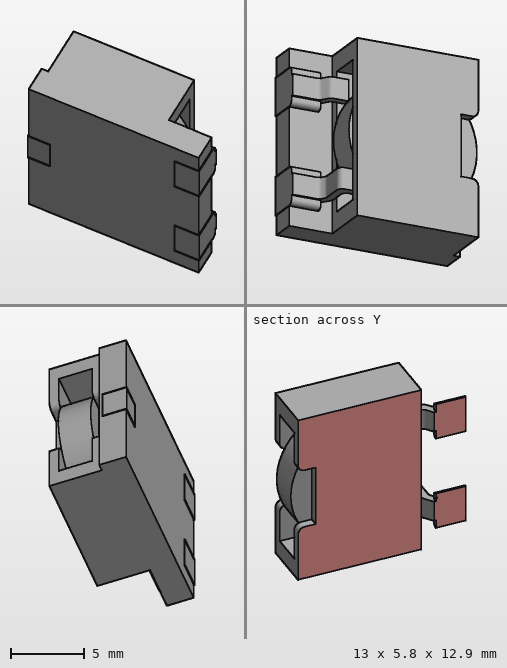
import cadquery as cq
import math


PLATE_SIZE = 12.9
PLATE_THICKNESS = 1.95

BODY_DEPTH = 5.75
HOUSING_WIDTH = 9.15
HOUSING_INSET = 0.5
HOUSING_LEFT = -PLATE_SIZE / 2 + HOUSING_INSET
HOUSING_CENTER_X = HOUSING_LEFT + HOUSING_WIDTH / 2

CAVITY_FRONT = 2.65
CAVITY_BACK = 5.05
CAVITY_HEIGHT = 10.17

NOTCH_HEIGHT = 4.52
NOTCH_DEPTH = 1.3
NOTCH_ROUND = 0.5

WHEEL_DIAMETER = 9.67
WHEEL_THICKNESS = 2.34

PAD_THICKNESS = 0.05
LEFT_PAD_LENGTH = 1.68
LEFT_PAD_HEIGHT = 2.39
LEFT_PAD_WRAP = 1.7
RIGHT_PAD_LENGTH = 1.87
RIGHT_PAD_HEIGHT = 2.81
RIGHT_PAD_Z = 3.6
TERMINAL_RIGHT = PLATE_SIZE / 2 + PAD_THICKNESS

BAR_LENGTH = 2.22
BAR_THICKNESS = 0.44
BAR_ROUND = 0.35

LEAD_THICKNESS = 0.6
LEAD_WIDTH = 1.56
LEAD_BEND_RADIUS = 0.4
LEAD_START_X = 2.6
LEAD_BEND_X = 3.8
LEAD_FOOT_X = 4.34
LEAD_LEG_X = 3.87
FOOT_Y = PLATE_THICKNESS + LEAD_THICKNESS / 2
LOW_ARM_Y = CAVITY_FRONT + LEAD_THICKNESS / 2
HIGH_ARM_Y = CAVITY_FRONT + WHEEL_THICKNESS - LEAD_THICKNESS / 2


def block(x_range, y_range, height):
    """Box spanning the given X and Y ranges, centred on Z = 0."""
    x_size = x_range[1] - x_range[0]
    y_size = y_range[1] - y_range[0]
    box = cq.Workplane("XY").box(x_size, y_size, height, centered=(False, False, True))
    return box.translate((x_range[0], y_range[0], 0))


def make_housing():
    housing_right = HOUSING_LEFT + HOUSING_WIDTH
    housing = block((HOUSING_LEFT, housing_right), (PLATE_THICKNESS, BODY_DEPTH), PLATE_SIZE)
    notch = block((HOUSING_LEFT, HOUSING_LEFT + NOTCH_DEPTH), (PLATE_THICKNESS, BODY_DEPTH), NOTCH_HEIGHT)
    search_margin = NOTCH_DEPTH / 2
    notch_corners = cq.selectors.BoxSelector(
        (HOUSING_LEFT - search_margin, 0, -NOTCH_HEIGHT),
        (HOUSING_LEFT + search_margin, BODY_DEPTH, NOTCH_HEIGHT),
    )
    rounded = housing.cut(notch).edges("|Y").edges(notch_corners).fillet(NOTCH_ROUND)
    cavity = block((HOUSING_LEFT, housing_right), (CAVITY_FRONT, CAVITY_BACK), CAVITY_HEIGHT)
    return rounded.cut(cavity)


def make_wheel():
    wheel = cq.Workplane("XZ").circle(WHEEL_DIAMETER / 2).extrude(-WHEEL_THICKNESS)
    return wheel.translate((HOUSING_CENTER_X, CAVITY_FRONT, 0))


def make_left_pad():
    left = -TERMINAL_RIGHT
    front = block((left, left + LEFT_PAD_LENGTH), (-PAD_THICKNESS, 0), LEFT_PAD_HEIGHT)
    side = block((left, left + PAD_THICKNESS), (-PAD_THICKNESS, LEFT_PAD_WRAP), LEFT_PAD_HEIGHT)
    return front.union(side)


def make_right_terminal():
    """Front pad, side wrap and rounded clamp bar, centred on Z = 0."""
    right = TERMINAL_RIGHT
    bar_back = PLATE_THICKNESS + BAR_THICKNESS
    front = block((right - RIGHT_PAD_LENGTH, right), (-PAD_THICKNESS, 0), RIGHT_PAD_HEIGHT)
    side = block((right - PAD_THICKNESS, right), (-PAD_THICKNESS, PLATE_THICKNESS), RIGHT_PAD_HEIGHT)
    bar = block((right - BAR_LENGTH, right), (PLATE_THICKNESS, bar_back), RIGHT_PAD_HEIGHT)
    bar = bar.edges("|X and >Y").fillet(BAR_ROUND)
    return front.union(side).union(bar)


def offset_path(path, distance):
    """Points of an open path shifted sideways by distance, with mitred corners."""
    angles = [math.atan2(b[1] - a[1], b[0] - a[0]) for a, b in zip(path, path[1:])]
    shifted = []
    for point, before, after in zip(path, angles[:1] + angles, angles + angles[-1:]):
        normal = (before + after + math.pi) / 2
        reach = distance / math.cos((after - before) / 2)
        shifted.append((point[0] + reach * math.cos(normal), point[1] + reach * math.sin(normal)))
    return shifted


def make_lead(path):
    """Sheet strip that follows a centre line in the XY plane, with every bend rounded."""
    upper = offset_path(path, LEAD_THICKNESS / 2)
    lower = offset_path(path, -LEAD_THICKNESS / 2)
    strip = cq.Workplane("XY").polyline(upper + lower[::-1]).close().extrude(LEAD_WIDTH / 2, both=True)
    return strip.edges("|Z").edges("not(<X or >X)").fillet(LEAD_BEND_RADIUS)


slope = (FOOT_Y - LOW_ARM_Y) / (LEAD_FOOT_X - LEAD_BEND_X)
leg_end_y = LOW_ARM_Y + slope * (LEAD_LEG_X - LEAD_BEND_X)
foot = [(LEAD_FOOT_X, FOOT_Y), (TERMINAL_RIGHT, FOOT_Y)]
low_path = [(LEAD_START_X, LOW_ARM_Y), (LEAD_BEND_X, LOW_ARM_Y)] + foot
high_path = [(LEAD_START_X, HIGH_ARM_Y), (LEAD_LEG_X, HIGH_ARM_Y), (LEAD_LEG_X, leg_end_y)] + foot

plate = block((-PLATE_SIZE / 2, PLATE_SIZE / 2), (0, PLATE_THICKNESS), PLATE_SIZE)
result = plate.union(make_housing()).union(make_wheel()).union(make_left_pad())
for lead_path, terminal_z in ((low_path, RIGHT_PAD_Z), (high_path, -RIGHT_PAD_Z)):
    terminal = make_right_terminal().union(make_lead(lead_path))
    result = result.union(terminal.translate((0, 0, terminal_z)))